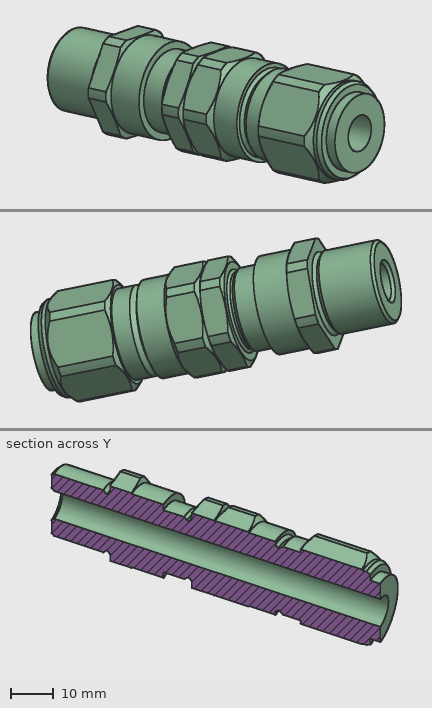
import cadquery as cq
import math

LENGTH = 85.3

HEX_FLATS = 24.0
HEX_CORNER_DIAMETER = 26.4
CORNER_RADIUS = HEX_CORNER_DIAMETER / 2

HEXAGONS = [
    (15.2, 20.8, 0.0, 0.4),
    (36.3, 42.3, 0.6, 0.4),
    (42.3, 51.3, 0.9, 1.1),
    (64.6, 80.8, 0.9, 1.6),
]
ENTRY_HEX_START = HEXAGONS[0][0]
NUT_HEX_START = HEXAGONS[1][0]
CAP_HEX_START = HEXAGONS[3][0]

THREAD_RADIUS = 10.0
THREAD_CHAMFER = 0.7
ENTRY_THREAD_END = 13.5
ENTRY_RELIEF_RADIUS = 8.95
ENTRY_RELIEF_TAPER = 0.9
COLLAR_RADIUS = 11.8
ENTRY_COLLAR_END = 29.1
MIDDLE_THREAD_END = 34.5
MIDDLE_RELIEF_RADIUS = 9.2
MIDDLE_RELIEF_TAPER = 0.8
MIDDLE_RELIEF_FLARE = 0.5
NUT_COLLAR_END = 58.1
REAR_GROOVE_OUTER_RADIUS = 10.75
REAR_GROOVE_RADIUS = 9.9
REAR_GROOVE_BOTTOM = 58.85
REAR_NECK_RADIUS = 10.9
REAR_NECK_START = 60.1
CAP_RIM_END = 82.7
CAP_RIM_CHAMFER_LENGTH = 1.0
CAP_RIM_CHAMFER_DEPTH = 0.6

SEAL_RADIUS = 9.4
BORE_RADIUS = 4.35
BORE_CHAMFER = 0.8


def revolve_about_x(outline):
    """Solid of revolution from (x, radius) points that start and end on the X axis."""
    return cq.Workplane("XZ").polyline(outline).close().revolve(360, (0, 0, 0), (1, 0, 0))


def turned_body():
    """Stepped round sections from the entry thread to the cap rim."""
    outline = [
        (0, 0),
        (0, THREAD_RADIUS - THREAD_CHAMFER),
        (THREAD_CHAMFER, THREAD_RADIUS),
        (ENTRY_THREAD_END, THREAD_RADIUS),
        (ENTRY_THREAD_END + ENTRY_RELIEF_TAPER, ENTRY_RELIEF_RADIUS),
        (ENTRY_HEX_START, THREAD_RADIUS),
        (ENTRY_HEX_START, COLLAR_RADIUS),
        (ENTRY_COLLAR_END, COLLAR_RADIUS),
        (ENTRY_COLLAR_END, THREAD_RADIUS),
        (MIDDLE_THREAD_END, THREAD_RADIUS),
        (MIDDLE_THREAD_END + MIDDLE_RELIEF_TAPER, MIDDLE_RELIEF_RADIUS),
        (NUT_HEX_START - MIDDLE_RELIEF_FLARE, MIDDLE_RELIEF_RADIUS),
        (NUT_HEX_START, THREAD_RADIUS),
        (NUT_HEX_START, COLLAR_RADIUS),
        (NUT_COLLAR_END, COLLAR_RADIUS),
        (NUT_COLLAR_END, REAR_GROOVE_OUTER_RADIUS),
        (REAR_GROOVE_BOTTOM, REAR_GROOVE_RADIUS),
        (REAR_NECK_START, REAR_NECK_RADIUS),
        (CAP_HEX_START, REAR_NECK_RADIUS),
        (CAP_HEX_START, COLLAR_RADIUS),
        (CAP_RIM_END - CAP_RIM_CHAMFER_LENGTH, COLLAR_RADIUS),
        (CAP_RIM_END, COLLAR_RADIUS - CAP_RIM_CHAMFER_DEPTH),
        (CAP_RIM_END, 0),
    ]
    return revolve_about_x(outline)


def hexagon(start, end, start_chamfer, end_chamfer):
    """Hexagonal prism whose corners are rounded and coned down to the collar radius at its ends."""
    across_corners = HEX_FLATS / math.cos(math.radians(30))
    prism = cq.Workplane("YZ", origin=(start, 0, 0)).polygon(6, across_corners).extrude(end - start)
    envelope = [(start, 0)]
    if start_chamfer:
        envelope.append((start, COLLAR_RADIUS))
    envelope.append((start + start_chamfer, CORNER_RADIUS))
    envelope.append((end - end_chamfer, CORNER_RADIUS))
    if end_chamfer:
        envelope.append((end, COLLAR_RADIUS))
    envelope.append((end, 0))
    return prism.intersect(revolve_about_x(envelope))


def seal():
    """Short cylinder standing out of the cap nut at the +X end."""
    seal_length = LENGTH - CAP_RIM_END
    return cq.Workplane("YZ", origin=(CAP_RIM_END, 0, 0)).circle(SEAL_RADIUS).extrude(seal_length)


def bore():
    """Through bore with a chamfered mouth at the -X end."""
    outline = [
        (0, 0),
        (0, BORE_RADIUS + BORE_CHAMFER),
        (BORE_CHAMFER, BORE_RADIUS),
        (LENGTH, BORE_RADIUS),
        (LENGTH, 0),
    ]
    return revolve_about_x(outline)


result = turned_body()
for hexagon_sizes in HEXAGONS:
    result = result.union(hexagon(*hexagon_sizes))
result = result.union(seal()).cut(bore())